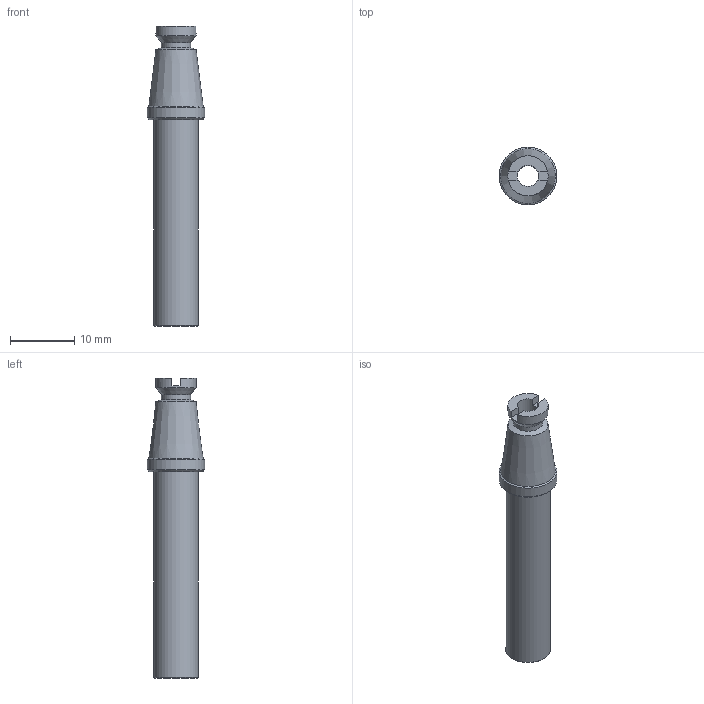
import cadquery as cq

total_length = 46.8
bore_diameter = 3.33

shank_diameter = 7.0
shank_length = 32.2
shank_chamfer = 0.1

collar_diameter = 9.0
collar_height = 1.9
collar_chamfer = 0.25

taper_bottom_diameter = 8.5
ledge_rise = 0.15
taper_top_diameter = 6.26
taper_height = 9.0
shoulder_rise = 0.3

neck_diameter = 4.55
head_diameter = 6.26
head_rim_height = 1.5
head_cone_height = 1.1
slot_width = 1.3
slot_depth = 1.2

collar_top = shank_length + collar_height
taper_top = collar_top + taper_height
rim_bottom = total_length - head_rim_height
neck_top = rim_bottom - head_cone_height


def turned_body():
    """Revolve the half outline of the pin about the Z axis, bore included."""
    bore_radius = bore_diameter / 2
    shank_radius = shank_diameter / 2
    collar_radius = collar_diameter / 2
    neck_radius = neck_diameter / 2
    head_radius = head_diameter / 2
    outline = [
        (bore_radius, 0),
        (shank_radius - shank_chamfer, 0),
        (shank_radius, shank_chamfer),
        (shank_radius, shank_length),
        (collar_radius - collar_chamfer, shank_length),
        (collar_radius, shank_length + collar_chamfer),
        (collar_radius, collar_top),
        (taper_bottom_diameter / 2, collar_top + ledge_rise),
        (taper_top_diameter / 2, taper_top),
        (neck_radius, taper_top + shoulder_rise),
        (neck_radius, neck_top),
        (head_radius, rim_bottom),
        (head_radius, total_length),
        (bore_radius, total_length),
    ]
    return cq.Workplane("XZ").polyline(outline).close().revolve(360, (0, 0, 0), (0, 1, 0))


def driver_slot():
    """Block that cuts the straight slot across the head, along X."""
    return (
        cq.Workplane("XY")
        .workplane(offset=total_length - slot_depth)
        .rect(collar_diameter, slot_width)
        .extrude(slot_depth)
    )


result = turned_body().cut(driver_slot())